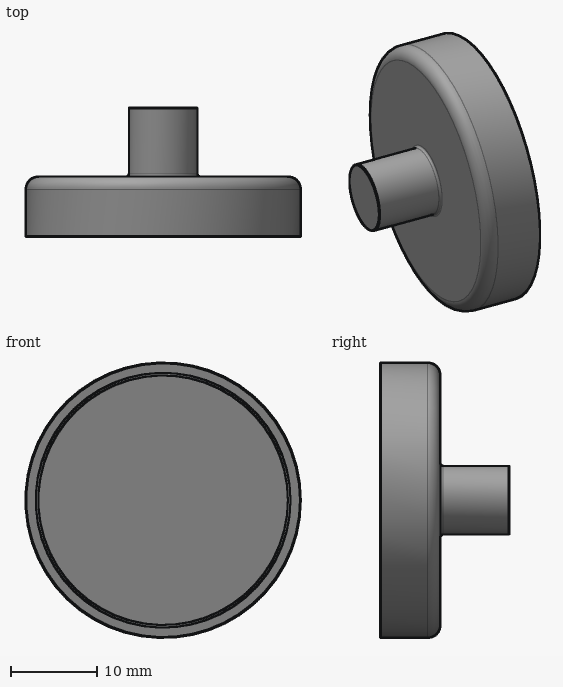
import cadquery as cq


cup_diameter = 32.0
cup_height = 7.0
total_height = 15.0
stem_diameter = 8.0
pocket_diameter = 29.6
magnet_diameter = 29.0
cup_back_radius = 1.5
stem_root_radius = 0.3
edge_chamfer = 0.1

cup_wall = (cup_diameter - pocket_diameter) / 2
pocket_depth = cup_height - cup_wall
stem_length = total_height - cup_height


def cylinder(diameter, length, start=0.0):
    """Cylinder on the Y axis, from Y = start toward +Y."""
    plane = cq.Plane(origin=(0, start, 0), xDir=(1, 0, 0), normal=(0, 1, 0))
    return cq.Workplane(plane).circle(diameter / 2).extrude(length)


def make_housing():
    """Cup with a rounded back, a filleted stem and a pocket for the magnet."""
    cup = cylinder(cup_diameter, cup_height)
    cup = cup.faces("<Y").edges().chamfer(edge_chamfer)
    cup = cup.faces(">Y").edges().fillet(cup_back_radius)

    stem = cylinder(stem_diameter, stem_length, cup_height)
    stem = stem.faces(">Y").edges().chamfer(edge_chamfer)

    body = cup.union(stem)
    stem_root = cq.selectors.RadiusNthSelector(0)
    back_face = body.faces(cq.selectors.NearestToPointSelector((stem_diameter, cup_height, 0)))
    body = back_face.edges(stem_root).fillet(stem_root_radius)

    return body.cut(cylinder(pocket_diameter, pocket_depth))


def make_ring():
    """Thin ring filling the gap between the magnet and the cup wall."""
    return cylinder(pocket_diameter, pocket_depth).cut(cylinder(magnet_diameter, pocket_depth))


def make_magnet():
    """Magnet disc, flush with the cup rim."""
    return cylinder(magnet_diameter, pocket_depth)


housing = make_housing()
ring = make_ring()
magnet = make_magnet()

result = cq.Compound.makeCompound([housing.val(), ring.val(), magnet.val()])